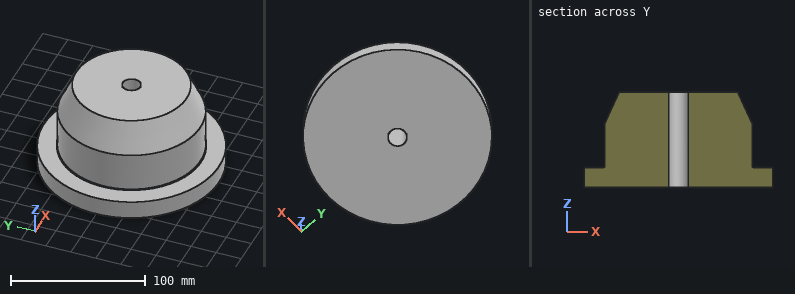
import cadquery as cq

flange_diameter = 140.0
flange_height = 15.0
body_diameter = 110.0
top_diameter = 88.0
hole_diameter = 14.0
total_height = 71.0
taper_height = 24.0
root_chamfer = 0.5

flange_radius = flange_diameter / 2
body_radius = body_diameter / 2
top_radius = top_diameter / 2
hole_radius = hole_diameter / 2
taper_start = total_height - taper_height

half_section = (
    cq.Workplane("XZ")
    .moveTo(hole_radius, 0)
    .lineTo(flange_radius, 0)
    .lineTo(flange_radius, flange_height)
    .lineTo(body_radius + root_chamfer, flange_height)
    .lineTo(body_radius, flange_height + root_chamfer)
    .lineTo(body_radius, taper_start)
    .lineTo(top_radius, total_height)
    .lineTo(hole_radius, total_height)
    .close()
)
result = half_section.revolve(360, (0, 0, 0), (0, 1, 0))